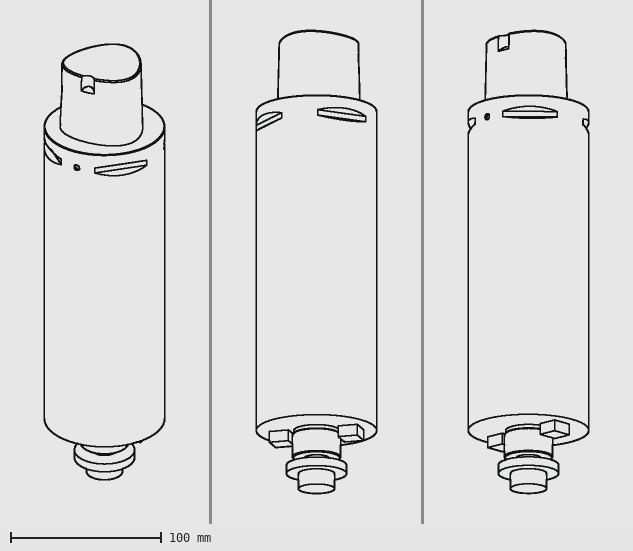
import cadquery as cq
import math

total_height = 308.0
body_diameter = 80.0
body_bottom = 40.0
body_top = 260.0
body_chamfer = 0.45

shank_radius = 27.5
shank_lobe = 2.0
shank_taper = 1 / 40
shank_edge_chamfer = 1.0
outline_points = 24

notch_width = 10.5
notch_wall_height = 8.0
notch_height = 10.8
notch_depth = 3.0

groove_height = body_top - 12.0
groove_floor_radius = 35.7
groove_floor_width = 3.7
groove_mouth_width = 8.3
groove_angles = (45, 135, 225, 315)
hole_diameter = 4.0
hole_depth = 2.0

pilot_diameter = 32.0
pilot_relief_diameter = 30.2
pilot_relief_height = 2.5
pilot_bottom = 21.3
pilot_chamfer = 0.5
neck_diameter = 16.0
flange_diameter = 40.0
flange_top = 16.3
flange_bottom = 10.5
tip_diameter = 24.0

key_span = 61.0
key_gap = 34.5
key_width = 14.2
key_height = 7.5


def cylinder(diameter, bottom, top):
    return cq.Workplane("XY").workplane(offset=bottom).circle(diameter / 2).extrude(top - bottom)


def shank_section(sketch, radius):
    """Add a closed lobed outline with one lobe pointing to +Y."""
    points = []
    for index in range(outline_points):
        angle = 2 * math.pi * index / outline_points
        x = radius * math.sin(angle) - shank_lobe * math.sin(2 * angle)
        y = radius * math.cos(angle) + shank_lobe * math.cos(2 * angle)
        points.append((x, y))
    return sketch.spline(points, periodic=True).close()


def make_shank():
    chamfer_start = total_height - shank_edge_chamfer
    shoulder_radius = shank_radius - shank_taper * (chamfer_start - body_top)
    lower = shank_section(cq.Workplane("XY").workplane(offset=body_top), shank_radius)
    lower = lower.workplane(offset=chamfer_start - body_top)
    lower = shank_section(lower, shoulder_radius).loft(ruled=True)
    edge = shank_section(cq.Workplane("XY").workplane(offset=chamfer_start), shoulder_radius)
    edge = edge.workplane(offset=shank_edge_chamfer)
    edge = shank_section(edge, shoulder_radius - shank_edge_chamfer).loft(ruled=True)
    return lower.union(edge)


def make_notch():
    """Vertical round-backed notch whose floor slopes down toward -Y."""
    top_radius = shank_radius - shank_taper * (total_height - body_top)
    face_y = shank_lobe - top_radius
    back_y = face_y + notch_depth
    mouth_y = face_y - notch_width
    slope = (notch_height - notch_wall_height) / notch_depth
    mouth_z = total_height - notch_wall_height - slope * (back_y - mouth_y)
    profile = [
        (back_y, total_height),
        (back_y, total_height - notch_wall_height),
        (mouth_y, mouth_z),
        (mouth_y, total_height),
    ]
    wedge = cq.Workplane("YZ").polyline(profile).close().extrude(notch_width / 2, both=True)
    round_back = cylinder(notch_width, mouth_z, total_height).translate((0, back_y - notch_width / 2, 0))
    return wedge.intersect(round_back)


def make_groove(angle):
    """Straight trapezoidal groove across the side of the body."""
    body_radius = body_diameter / 2
    profile = [
        (groove_floor_radius, groove_height - groove_floor_width / 2),
        (body_radius, groove_height - groove_mouth_width / 2),
        (body_radius, groove_height + groove_mouth_width / 2),
        (groove_floor_radius, groove_height + groove_floor_width / 2),
    ]
    groove = cq.Workplane("XZ").polyline(profile).close().extrude(body_radius, both=True)
    return groove.rotate((0, 0, 0), (0, 0, 1), angle)


def make_body():
    body = cylinder(body_diameter, body_bottom, body_top).faces(">Z").chamfer(body_chamfer)
    for angle in groove_angles:
        body = body.cut(make_groove(angle))
    hole = cq.Workplane("XZ", origin=(0, -body_diameter / 2, groove_height))
    return body.cut(hole.circle(hole_diameter / 2).extrude(-hole_depth))


def make_arbor():
    relief_bottom = body_bottom - pilot_relief_height
    pilot = cylinder(pilot_diameter, pilot_bottom, relief_bottom).faces("<Z or >Z").chamfer(pilot_chamfer)
    relief = cylinder(pilot_relief_diameter, relief_bottom, body_bottom)
    neck = cylinder(neck_diameter, flange_top, pilot_bottom)
    flange = cylinder(flange_diameter, flange_bottom, flange_top)
    tip = cylinder(tip_diameter, 0, flange_bottom)
    return pilot.union(relief).union(neck).union(flange).union(tip)


def make_key(side):
    length = (key_span - key_gap) / 2
    center_x = side * (key_span + key_gap) / 4
    center_z = body_bottom - key_height / 2
    return cq.Workplane("XY").box(length, key_width, key_height).translate((center_x, 0, center_z))


shank = make_shank().cut(make_notch())
result = make_body().union(shank).union(make_arbor())
for side in (-1, 1):
    result = result.union(make_key(side))